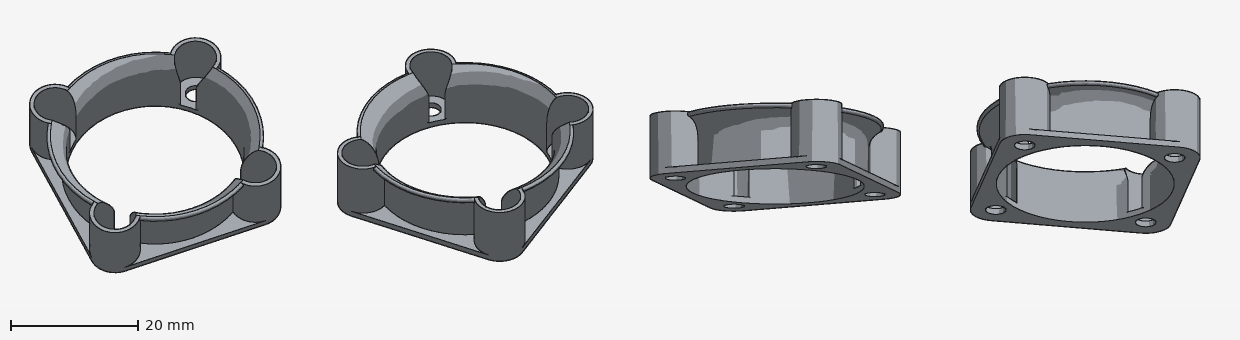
import cadquery as cq
import math

height = 10.0
lip_outer_diameter = 34.1

plate_side = 32.0
plate_thickness = 1.0
post_diameter = 8.0
pocket_diameter = 6.6
screw_hole_diameter = 3.2
post_spacing = plate_side - post_diameter

bore_radius = 28.0 / 2
wall_thickness = 0.75
flare_start = 6.0
mouth_radius = 16.5
bead_height = wall_thickness

flare_rise = height - flare_start
flare_spread = mouth_radius - bore_radius
flare_radius = (flare_rise**2 + flare_spread**2) / (2 * flare_spread)
flare_angle = math.asin(flare_rise / flare_radius)


def flare_point(radius, angle):
    """Point (r, z) on an arc about the flare centre, measured up from the bore tangent."""
    return (
        bore_radius + flare_radius - radius * math.cos(angle),
        flare_start + radius * math.sin(angle),
    )


def revolve_profile(profile):
    return profile.close().revolve(360, (0, 0, 0), (0, 1, 0))


def make_duct_body():
    """Solid outside shape of the duct, with a rounded bead around the mouth."""
    bead_bottom = height - bead_height
    outer_arc_radius = flare_radius - wall_thickness
    outer_arc_angle = math.asin((bead_bottom - flare_start) / outer_arc_radius)
    bead_start = flare_point(outer_arc_radius, outer_arc_angle)
    return revolve_profile(
        cq.Workplane("XZ")
        .lineTo(bore_radius + wall_thickness, 0)
        .lineTo(bore_radius + wall_thickness, flare_start)
        .threePointArc(
            flare_point(outer_arc_radius, outer_arc_angle / 2),
            bead_start,
        )
        .threePointArc(
            (lip_outer_diameter / 2, height - bead_height / 2),
            (bead_start[0], height),
        )
        .lineTo(0, height)
    )


def make_air_passage():
    return revolve_profile(
        cq.Workplane("XZ")
        .lineTo(bore_radius, 0)
        .lineTo(bore_radius, flare_start)
        .threePointArc(
            flare_point(flare_radius, flare_angle / 2),
            flare_point(flare_radius, flare_angle),
        )
        .lineTo(0, height)
    )


def corner_cylinders(diameter, bottom):
    return (
        cq.Workplane("XY", origin=(0, 0, bottom))
        .rect(post_spacing, post_spacing, forConstruction=True)
        .vertices()
        .circle(diameter / 2)
        .extrude(height - bottom)
    )


plate = (
    cq.Workplane("XY")
    .box(plate_side, post_spacing, plate_thickness, centered=(True, True, False))
    .union(
        cq.Workplane("XY")
        .box(post_spacing, plate_side, plate_thickness, centered=(True, True, False))
    )
)

result = (
    plate.union(corner_cylinders(post_diameter, 0))
    .union(make_duct_body(), clean=False)
    .cut(make_air_passage(), clean=False)
    .cut(corner_cylinders(pocket_diameter, plate_thickness), clean=False)
    .cut(corner_cylinders(screw_hole_diameter, 0), clean=False)
)